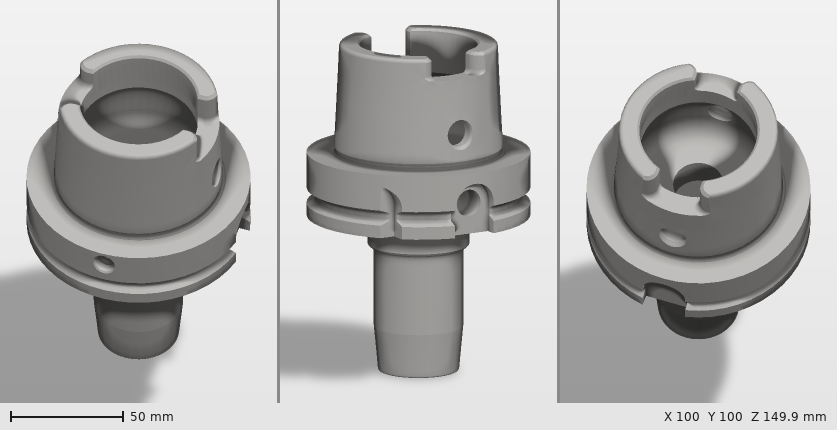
import cadquery as cq
import math


ARC_MID_INSET = 1 - math.sqrt(0.5)

SHANK_LENGTH = 50.0
FLANGE_THICKNESS = 29.0
NOSE_LENGTH = 99.9

SHANK_BASE_RADIUS = 37.75
SHANK_BASE_Z = 2.8
SHANK_TAPER = 1 / 20
SHANK_RIM_FILLET = 1.8
RELIEF_RADIUS = 37.3
RELIEF_TOP_Z = 1.7
RELIEF_FILLET = 1.2
RELIEF_FILLET_Z = 0.8
RELIEF_BOTTOM_Z = RELIEF_FILLET_Z - RELIEF_FILLET
RELIEF_OUTER_RADIUS = 39.1

BORE_RADIUS = 26.4
BORE_CHAMFER = 1.0
CLAMP_Z = 30.1
CLAMP_ANGLE = 30.0
CAVITY_RADIUS = 31.5
CAVITY_FLOOR_Z = 3.0
CAVITY_FILLET = 6.6
COOLANT_RADIUS = 11.3
COOLANT_DEPTH = 15.0
PILOT_RADIUS = 1.7
PILOT_CHAMFER = 0.5
PILOT_DEPTH = 10.0

SLOT_HALF_WIDTH = 10.0
SLOT_DEPTH_LEFT = 10.0
SLOT_DEPTH_RIGHT = 15.0
SLOT_CORNER_RADIUS = 5.2
SLOT_CORNER_X = 26.9
SLOT_FLARE_HALF_WIDTH = 20.0
SLOT_OUTER_X = 45.0
SLOT_FLOOR_FILLET = 2.2
SLOT_RIM_BREAK = 1.4
SLOT_RIM_BREAK_ANGLE = 45.0

CROSS_HOLE_Z = 15.0
CROSS_HOLE_RADIUS = 5.8
CROSS_HOLE_RIM_RADIUS = 6.8
CROSS_HOLE_SINK_DEPTH = 1.7
CROSS_HOLE_OVERSHOOT = 1.0

FLANGE_RADIUS = 50.0
GROOVE_RADIUS = 46.3
GROOVE_CENTRE_Z = -19.85
GROOVE_OUTER_WIDTH = 6.9
GROOVE_INNER_WIDTH = 3.5
GROOVE_FILLET = 1.1

KEYWAY_RADIUS = 10.0
KEYWAY_Z = -15.0
KEYWAY_FLOOR_X = 44.0
NOTCH_FLOOR_X = 31.8
NOTCH_Y = 41.5
KEYWAY_HOLE_RADIUS = 6.1
KEYWAY_HOLE_DEPTH = 10.0
DRILL_POINT_ANGLE = 118.0

DATA_HOLE_Z = -6.8
DATA_HOLE_RADIUS = 4.8
DATA_HOLE_DEPTH = 4.6
DATA_HOLE_CHAMFER = 0.7
DATA_PIP_RADIUS = 0.5
DATA_PIP_DEPTH = 0.5

COLLAR_RADIUS = 22.7
COLLAR_END_Z = -43.2
COLLAR_CHAMFER = 1.1
NOSE_RADIUS = 20.0
NOSE_ROOT_FILLET = 1.1
NOSE_TAPER_Z = -79.7
NOSE_TIP_RADIUS = 18.1
NOSE_TIP_FILLET = 0.9


def shank_radius(z):
    return SHANK_BASE_RADIUS - (z - SHANK_BASE_Z) * SHANK_TAPER


def revolve(profile):
    """Revolve an (r, z) profile drawn in the XZ plane about the Z axis."""
    return profile.close().revolve(360, (0, 0, 0), (0, 1, 0))


def hole_along(start, direction, radius, length):
    return cq.Workplane(cq.Solid.makeCylinder(radius, length, cq.Vector(*start), cq.Vector(*direction)))


def cone_along(start, direction, start_radius, end_radius, length):
    return cq.Workplane(
        cq.Solid.makeCone(start_radius, end_radius, length, cq.Vector(*start), cq.Vector(*direction))
    )


def make_shank():
    arc_offset = RELIEF_FILLET * ARC_MID_INSET
    profile = (
        cq.Workplane("XZ")
        .moveTo(0, RELIEF_BOTTOM_Z)
        .lineTo(RELIEF_RADIUS + RELIEF_FILLET, RELIEF_BOTTOM_Z)
        .threePointArc(
            (RELIEF_RADIUS + arc_offset, RELIEF_BOTTOM_Z + arc_offset),
            (RELIEF_RADIUS, RELIEF_FILLET_Z),
        )
        .lineTo(RELIEF_RADIUS, RELIEF_TOP_Z)
        .lineTo(SHANK_BASE_RADIUS, SHANK_BASE_Z)
        .lineTo(shank_radius(SHANK_LENGTH), SHANK_LENGTH)
        .lineTo(0, SHANK_LENGTH)
    )
    return revolve(profile).faces(">Z").edges().fillet(SHANK_RIM_FILLET)


def make_flange():
    profile = (
        cq.Workplane("XZ")
        .moveTo(0, RELIEF_BOTTOM_Z)
        .lineTo(RELIEF_RADIUS + RELIEF_FILLET, RELIEF_BOTTOM_Z)
        .lineTo(RELIEF_OUTER_RADIUS, 0)
        .lineTo(FLANGE_RADIUS, 0)
        .lineTo(FLANGE_RADIUS, -FLANGE_THICKNESS)
        .lineTo(0, -FLANGE_THICKNESS)
    )
    return revolve(profile).cut(make_gripper_groove())


def make_gripper_groove():
    inner_half = GROOVE_INNER_WIDTH / 2
    outer_half = GROOVE_OUTER_WIDTH / 2
    profile = (
        cq.Workplane("XZ")
        .moveTo(GROOVE_RADIUS, GROOVE_CENTRE_Z - inner_half)
        .lineTo(GROOVE_RADIUS, GROOVE_CENTRE_Z + inner_half)
        .lineTo(FLANGE_RADIUS, GROOVE_CENTRE_Z + outer_half)
        .lineTo(FLANGE_RADIUS, GROOVE_CENTRE_Z - outer_half)
    )
    inner_edges = cq.selectors.RadiusNthSelector(0)
    return revolve(profile).edges(inner_edges).fillet(GROOVE_FILLET)


def make_nose():
    arc_offset = NOSE_ROOT_FILLET * ARC_MID_INSET
    profile = (
        cq.Workplane("XZ")
        .moveTo(0, -FLANGE_THICKNESS)
        .lineTo(COLLAR_RADIUS, -FLANGE_THICKNESS)
        .lineTo(COLLAR_RADIUS, COLLAR_END_Z + COLLAR_CHAMFER)
        .lineTo(COLLAR_RADIUS - COLLAR_CHAMFER, COLLAR_END_Z)
        .lineTo(NOSE_RADIUS + NOSE_ROOT_FILLET, COLLAR_END_Z)
        .threePointArc(
            (NOSE_RADIUS + arc_offset, COLLAR_END_Z - arc_offset),
            (NOSE_RADIUS, COLLAR_END_Z - NOSE_ROOT_FILLET),
        )
        .lineTo(NOSE_RADIUS, NOSE_TAPER_Z)
        .lineTo(NOSE_TIP_RADIUS, -NOSE_LENGTH)
        .lineTo(0, -NOSE_LENGTH)
    )
    return revolve(profile).faces("<Z").edges().fillet(NOSE_TIP_FILLET)


def make_cavity():
    """Bore, clamping undercut, coolant bore and pilot hole as one cutting body."""
    clamp_drop = (CAVITY_RADIUS - BORE_RADIUS) * math.tan(math.radians(CLAMP_ANGLE))
    fillet_offset = CAVITY_FILLET * ARC_MID_INSET
    coolant_floor_z = CAVITY_FLOOR_Z - COOLANT_DEPTH
    pilot_floor_z = coolant_floor_z - PILOT_DEPTH
    profile = (
        cq.Workplane("XZ")
        .moveTo(0, SHANK_LENGTH)
        .lineTo(BORE_RADIUS + BORE_CHAMFER, SHANK_LENGTH)
        .lineTo(BORE_RADIUS, SHANK_LENGTH - BORE_CHAMFER)
        .lineTo(BORE_RADIUS, CLAMP_Z)
        .lineTo(CAVITY_RADIUS, CLAMP_Z - clamp_drop)
        .lineTo(CAVITY_RADIUS, CAVITY_FLOOR_Z + CAVITY_FILLET)
        .threePointArc(
            (CAVITY_RADIUS - fillet_offset, CAVITY_FLOOR_Z + fillet_offset),
            (CAVITY_RADIUS - CAVITY_FILLET, CAVITY_FLOOR_Z),
        )
        .lineTo(COOLANT_RADIUS, CAVITY_FLOOR_Z)
        .lineTo(COOLANT_RADIUS, coolant_floor_z)
        .lineTo(PILOT_RADIUS + PILOT_CHAMFER, coolant_floor_z)
        .lineTo(PILOT_RADIUS, coolant_floor_z - PILOT_CHAMFER)
        .lineTo(PILOT_RADIUS, pilot_floor_z)
        .lineTo(0, pilot_floor_z)
    )
    return revolve(profile)


def slot_outline(z):
    """Right-hand slot outline: parallel walls that curve outward near the rim."""
    corner_x = SLOT_CORNER_X + SLOT_CORNER_RADIUS
    corner_y = SLOT_HALF_WIDTH + SLOT_CORNER_RADIUS
    mid_x = corner_x - SLOT_CORNER_RADIUS * ARC_MID_INSET
    mid_y = SLOT_HALF_WIDTH + SLOT_CORNER_RADIUS * ARC_MID_INSET
    return (
        cq.Workplane("XY", origin=(0, 0, z))
        .moveTo(0, -SLOT_HALF_WIDTH)
        .lineTo(SLOT_CORNER_X, -SLOT_HALF_WIDTH)
        .threePointArc((mid_x, -mid_y), (corner_x, -corner_y))
        .lineTo(corner_x, -SLOT_FLARE_HALF_WIDTH)
        .lineTo(SLOT_OUTER_X, -SLOT_FLARE_HALF_WIDTH)
        .lineTo(SLOT_OUTER_X, SLOT_FLARE_HALF_WIDTH)
        .lineTo(corner_x, SLOT_FLARE_HALF_WIDTH)
        .lineTo(corner_x, corner_y)
        .threePointArc((mid_x, mid_y), (SLOT_CORNER_X, SLOT_HALF_WIDTH))
        .lineTo(0, SLOT_HALF_WIDTH)
        .close()
    )


def make_drive_slot(depth):
    """Slot cutter with a rounded floor corner and a flared top that breaks the rim."""
    slot = slot_outline(SHANK_LENGTH - depth).extrude(depth)
    slot = slot.faces("<Z").edges().fillet(SLOT_FLOOR_FILLET)
    flare = slot_outline(SHANK_LENGTH - SLOT_RIM_BREAK).extrude(SLOT_RIM_BREAK, taper=-SLOT_RIM_BREAK_ANGLE)
    return slot.union(flare)


def make_keyway(floor_x, centre_y):
    """Round-topped slot on the -X side, open at the lower flange face."""
    length = FLANGE_RADIUS - floor_x
    height = FLANGE_THICKNESS + KEYWAY_Z
    round_top = hole_along((-FLANGE_RADIUS, centre_y, KEYWAY_Z), (1, 0, 0), KEYWAY_RADIUS, length)
    straight = cq.Workplane("XY").box(length, 2 * KEYWAY_RADIUS, height).translate(
        (-FLANGE_RADIUS + length / 2, centre_y, KEYWAY_Z - height / 2)
    )
    return round_top.union(straight)


def make_keyway_hole():
    """Blind drilled hole in the floor of the -X keyway."""
    point_length = KEYWAY_HOLE_RADIUS / math.tan(math.radians(DRILL_POINT_ANGLE / 2))
    bottom_x = KEYWAY_HOLE_DEPTH - KEYWAY_FLOOR_X
    hole = hole_along((-KEYWAY_FLOOR_X, 0, KEYWAY_Z), (1, 0, 0), KEYWAY_HOLE_RADIUS, KEYWAY_HOLE_DEPTH)
    point = cone_along((bottom_x, 0, KEYWAY_Z), (1, 0, 0), KEYWAY_HOLE_RADIUS, 0, point_length)
    return hole.union(point)


def make_cross_hole():
    """Hole through both shank walls along X, countersunk from outside."""
    reach = shank_radius(CROSS_HOLE_Z)
    start_x = reach + CROSS_HOLE_OVERSHOOT
    sink_slope = (CROSS_HOLE_RIM_RADIUS - CROSS_HOLE_RADIUS) / CROSS_HOLE_SINK_DEPTH
    start_radius = CROSS_HOLE_RIM_RADIUS + sink_slope * CROSS_HOLE_OVERSHOOT
    sink_length = CROSS_HOLE_SINK_DEPTH + CROSS_HOLE_OVERSHOOT
    tool = hole_along((-start_x, 0, CROSS_HOLE_Z), (1, 0, 0), CROSS_HOLE_RADIUS, 2 * start_x)
    for side in (-1, 1):
        start = (side * start_x, 0, CROSS_HOLE_Z)
        tool = tool.union(cone_along(start, (-side, 0, 0), start_radius, CROSS_HOLE_RADIUS, sink_length))
    return tool


def make_data_hole():
    """Data carrier pocket on the -Y side with a chamfered mouth and a small centre pip."""
    start = (0, -FLANGE_RADIUS, DATA_HOLE_Z)
    inward = (0, 1, 0)
    mouth_radius = DATA_HOLE_RADIUS + DATA_HOLE_CHAMFER
    tool = hole_along(start, inward, DATA_HOLE_RADIUS, DATA_HOLE_DEPTH)
    mouth = cone_along(start, inward, mouth_radius, DATA_HOLE_RADIUS, DATA_HOLE_CHAMFER)
    pip = hole_along(start, inward, DATA_PIP_RADIUS, DATA_HOLE_DEPTH + DATA_PIP_DEPTH)
    return tool.union(mouth).union(pip)


body = make_flange().union(make_shank()).union(make_nose())
body = body.cut(make_cavity())
body = body.cut(make_drive_slot(SLOT_DEPTH_RIGHT))
body = body.cut(make_drive_slot(SLOT_DEPTH_LEFT).rotate((0, 0, 0), (0, 0, 1), 180))
body = body.cut(make_cross_hole())

keyway = make_keyway(KEYWAY_FLOOR_X, 0)
body = body.cut(keyway)
body = body.cut(keyway.mirror("YZ"))
body = body.cut(make_keyway(NOTCH_FLOOR_X, NOTCH_Y))
body = body.cut(make_keyway_hole())
result = body.cut(make_data_hole())